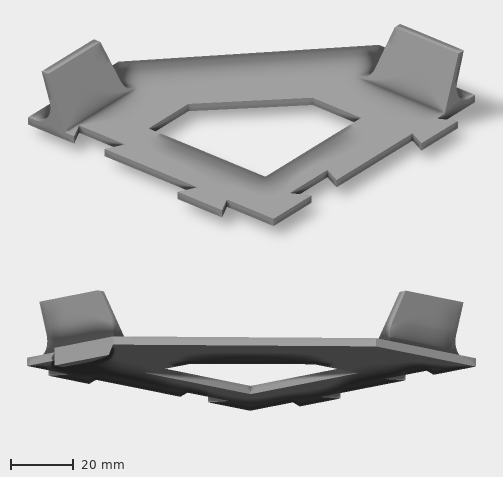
import cadquery as cq
import math

side = 101.5
thickness = 2.7
flange_depth = 5.1
flange_start_x = 57.7
flange_end_x = 84.1
corner_cut_start_y = 45.6
far_y = side + flange_depth

window_near = 19.0
window_size = 48.3
window_corner_cut = 28.2
window_left = side - window_near - window_size

slot_center = side / 4
tab_center = side - slot_center
tab_depth = 6.2
tab_neck = 12.2
slot_depth = 6.3
slot_neck = 12.6
flare_per_depth = 0.5

wall_height = 19.1
wall_length = 36.7
wall_foot_x = 2.5
wall_base_width = 12.7
wall_top_width = 2.7
wall_fillet = 6.8
lean_angle = math.radians(18)
end_draft_angle = math.radians(15)

lip_depth = 3.0
lip_straight_x = 74.7
lip_front_y = 101.8
lip_radius = 31.4
lip_taper = 17.0


def make_plate():
    outline = [
        (0, 0), (side, 0), (side, side), (flange_end_x, side),
        (flange_end_x, far_y), (flange_start_x, far_y), (0, corner_cut_start_y),
    ]
    return cq.Workplane("XY").polyline(outline).close().extrude(thickness)


def make_window():
    right = window_left + window_size
    top = window_near + window_size
    outline = [
        (window_left, window_near), (right, window_near), (right, top),
        (window_left + window_corner_cut, top), (window_left, top - window_corner_cut),
    ]
    return cq.Workplane("XY").polyline(outline).close().extrude(thickness)


def make_dovetail(center, neck, depth, direction):
    """Dovetail on the near edge that widens away from it; direction is -1 outward, 1 inward."""
    half_neck = neck / 2
    half_head = half_neck + flare_per_depth * depth
    end_y = direction * depth
    outline = [
        (center - half_neck, 0), (center + half_neck, 0),
        (center + half_head, end_y), (center - half_head, end_y),
    ]
    return cq.Workplane("XY").polyline(outline).close().extrude(thickness)


def fillet_point(angle):
    """Run and rise along a fillet that starts flat on the plate and turns through angle."""
    return wall_fillet * math.sin(angle), wall_fillet * (1 - math.cos(angle))


def make_left_wall():
    """Wall along the left edge, as a leaning cross-section cut to a filleted, drafted end."""
    turn = math.pi / 2 + lean_angle
    mid_run, mid_rise = fillet_point(turn / 2)
    run, rise = fillet_point(turn)
    top_x = wall_foot_x + run - (wall_height - rise) * math.tan(lean_angle)
    section = (
        cq.Workplane("XZ")
        .moveTo(wall_foot_x, 0)
        .threePointArc((wall_foot_x + mid_run, mid_rise), (wall_foot_x + run, rise))
        .lineTo(top_x, wall_height)
        .lineTo(top_x + wall_top_width, wall_height)
        .lineTo(wall_foot_x + wall_base_width, 0)
        .close()
        .extrude(-wall_length)
    )

    turn = math.pi / 2 - end_draft_angle
    mid_run, mid_rise = fillet_point(turn / 2)
    run, rise = fillet_point(turn)
    top_y = wall_length - run - (wall_height - rise) * math.tan(end_draft_angle)
    lengthwise = (
        cq.Workplane("YZ")
        .moveTo(wall_length, 0)
        .threePointArc((wall_length - mid_run, mid_rise), (wall_length - run, rise))
        .lineTo(top_y, wall_height)
        .lineTo(0, wall_height)
        .lineTo(0, 0)
        .close()
        .extrude(wall_foot_x + wall_base_width)
    )
    return section.intersect(lengthwise).translate((0, 0, thickness))


def make_lip():
    """Tapered lip whose inner face is straight, then curves back to the far edge."""
    block_end_x = lip_straight_x + 2 * lip_radius
    back_y = lip_front_y + 2 * lip_radius
    tapered = (
        cq.Workplane("XY")
        .moveTo(lip_straight_x, lip_front_y)
        .lineTo(block_end_x, lip_front_y)
        .lineTo(block_end_x, back_y)
        .lineTo(lip_straight_x, back_y)
        .threePointArc(
            (lip_straight_x - lip_radius, lip_front_y + lip_radius), (lip_straight_x, lip_front_y)
        )
        .close()
        .extrude(-lip_depth, taper=lip_taper)
    )
    flange_zone = cq.Workplane("XY").box(flange_end_x, far_y, lip_depth, centered=False)
    return tapered.intersect(flange_zone.translate((0, 0, -lip_depth)))


result = make_plate().cut(make_window())

axis_start = (side / 2, side / 2, 0)
axis_end = (side / 2, side / 2, 1)
for turn_degrees in (0, 90):
    tab = make_dovetail(tab_center, tab_neck, tab_depth, -1)
    slot = make_dovetail(slot_center, slot_neck, slot_depth, 1)
    result = result.union(tab.rotate(axis_start, axis_end, turn_degrees))
    result = result.cut(slot.rotate(axis_start, axis_end, turn_degrees))

left_wall = make_left_wall()
far_wall = left_wall.rotate((0, 0, 0), (0, 0, 1), 90).mirror("XZ").translate((side, side, 0))
result = result.union(left_wall).union(far_wall).union(make_lip())